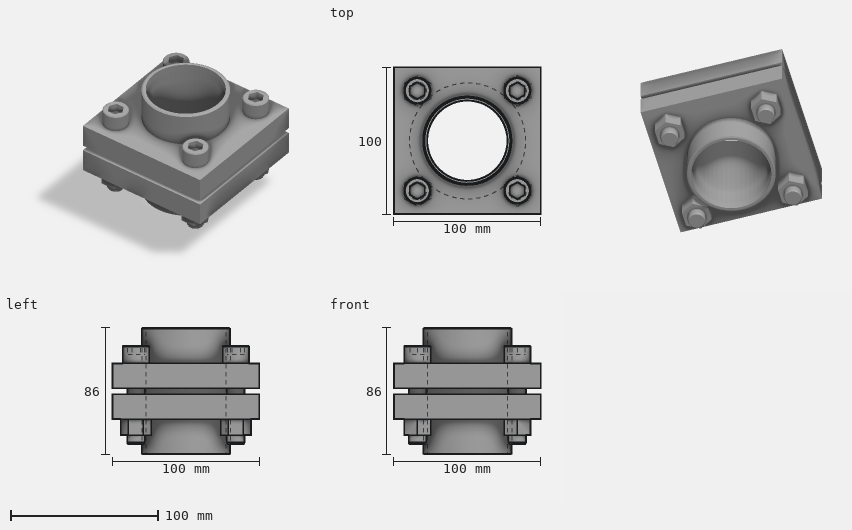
import cadquery as cq
import math

plate_side = 100.0
plate_thickness = 17.0
gasket_thickness = 4.0
gasket_diameter = 79.0

pipe_outer_diameter = 60.3
pipe_bore_diameter = 54.5
pipe_projection = 24.0
pipe_bevel_width = 1.0
pipe_bevel_height = 0.6

bolt_spacing = 68.0
bolt_diameter = 12.0
bolt_end_projection = 17.0
bolt_end_chamfer_width = 0.7
bolt_end_chamfer_height = 1.2
head_diameter = 18.0
head_height = 12.0
head_chamfer = 0.6
socket_width = 10.0
socket_depth = 6.0
nut_width = 18.0
nut_height = 10.8

flange_inner_z = gasket_thickness / 2
flange_outer_z = flange_inner_z + plate_thickness
pipe_end_z = flange_outer_z + pipe_projection
head_top_z = flange_outer_z + head_height
bolt_end_z = -flange_outer_z - bolt_end_projection


def cylinder(diameter, bottom_z, top_z):
    return cq.Workplane("XY").workplane(offset=bottom_z).circle(diameter / 2).extrude(top_z - bottom_z)


def hexagon(width_across_flats, bottom_z, top_z):
    """Hexagonal prism with two flats facing +X and -X and corners on the Y axis."""
    corner_diameter = width_across_flats / math.cos(math.radians(30))
    profile = cq.Workplane("XY").workplane(offset=bottom_z).transformed(rotate=(0, 0, 90))
    return profile.polygon(6, corner_diameter).extrude(top_z - bottom_z)


def flange_plate(bottom_z):
    plate = cq.Workplane("XY").workplane(offset=bottom_z)
    return plate.rect(plate_side, plate_side).extrude(plate_thickness)


def pipe():
    """Solid pipe outline with a weld bevel on both ends; the bore is cut later."""
    radius = pipe_outer_diameter / 2
    bevel_radius = radius - pipe_bevel_width
    bevel_z = pipe_end_z - pipe_bevel_height
    half_profile = [
        (0, -pipe_end_z),
        (bevel_radius, -pipe_end_z),
        (radius, -bevel_z),
        (radius, bevel_z),
        (bevel_radius, pipe_end_z),
        (0, pipe_end_z),
    ]
    return cq.Workplane("XZ").polyline(half_profile).close().revolve(360, (0, 0, 0), (0, 1, 0))


def bolt_with_nut():
    shank = cylinder(bolt_diameter, bolt_end_z, flange_outer_z)
    shank = shank.faces("<Z").chamfer(bolt_end_chamfer_height, bolt_end_chamfer_width)
    head = cylinder(head_diameter, flange_outer_z, head_top_z).faces(">Z").edges().chamfer(head_chamfer)
    socket = hexagon(socket_width, head_top_z - socket_depth, head_top_z)
    nut = hexagon(nut_width, -flange_outer_z - nut_height, -flange_outer_z)
    return shank.union(head).cut(socket).union(nut)


body = flange_plate(flange_inner_z).union(flange_plate(-flange_outer_z))
body = body.union(cylinder(gasket_diameter, -flange_inner_z, flange_inner_z))
body = body.union(pipe())
body = body.cut(cylinder(pipe_bore_diameter, -pipe_end_z, pipe_end_z))

bolt = bolt_with_nut()
for x_side in (-1, 1):
    for y_side in (-1, 1):
        position = (x_side * bolt_spacing / 2, y_side * bolt_spacing / 2, 0)
        body = body.union(bolt.translate(position))

result = body